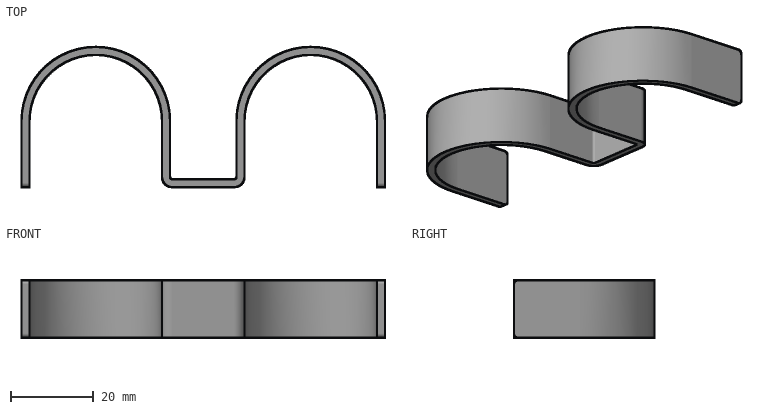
import cadquery as cq

strip_thickness = 2.0
strip_width = 14.0
hook_inner_radius = 16.0
leg_length = 16.0
bridge_inner_width = 16.0
bend_inner_radius = 0.5
end_corner_radius = 1.0

hook_outer_radius = hook_inner_radius + strip_thickness
bend_outer_radius = bend_inner_radius + strip_thickness
bridge_half_gap = bridge_inner_width / 2
hook_center_x = bridge_half_gap + hook_outer_radius
outer_half_width = hook_center_x + hook_outer_radius


def arch(radius, center_x):
    """Solid with straight legs down to Y = 0 and a half-round top."""
    return (
        cq.Workplane("XY")
        .moveTo(center_x - radius, 0)
        .lineTo(center_x - radius, leg_length)
        .threePointArc((center_x, leg_length + radius), (center_x + radius, leg_length))
        .lineTo(center_x + radius, 0)
        .close()
        .extrude(strip_width)
    )


def hook(center_x):
    """Inverted U of constant strip thickness."""
    return arch(hook_outer_radius, center_x).cut(arch(hook_inner_radius, center_x))


def channel(half_width, floor_y, bend_radius):
    """Block between the hooks, with its two lower vertical edges rounded."""
    return (
        cq.Workplane("XY")
        .moveTo(-half_width, floor_y)
        .lineTo(half_width, floor_y)
        .lineTo(half_width, leg_length)
        .lineTo(-half_width, leg_length)
        .close()
        .extrude(strip_width)
        .edges("|Z and <Y")
        .fillet(bend_radius)
    )


def bridge():
    """U-shaped strip that includes both inner legs and joins them along Y = 0."""
    outer = channel(bridge_half_gap + strip_thickness, 0, bend_outer_radius)
    inner = channel(bridge_half_gap, strip_thickness, bend_inner_radius)
    return outer.cut(inner)


def inner_leg_space():
    """Region of the inner legs, cleared from the hooks so the bridge bends stay round."""
    width = 2 * (bridge_half_gap + strip_thickness)
    return cq.Workplane("XY").box(width, leg_length, strip_width, centered=(True, False, False))


def round_free_ends(body):
    """Round the top and bottom corners of both outermost leg ends."""
    leg_center_x = outer_half_width - strip_thickness / 2
    for x in (-leg_center_x, leg_center_x):
        for z in (0, strip_width):
            body = body.edges(cq.NearestToPointSelector((x, 0, z))).fillet(end_corner_radius)
    return body


hooks = hook(-hook_center_x).union(hook(hook_center_x))
clip = hooks.cut(inner_leg_space()).union(bridge())
result = round_free_ends(clip)